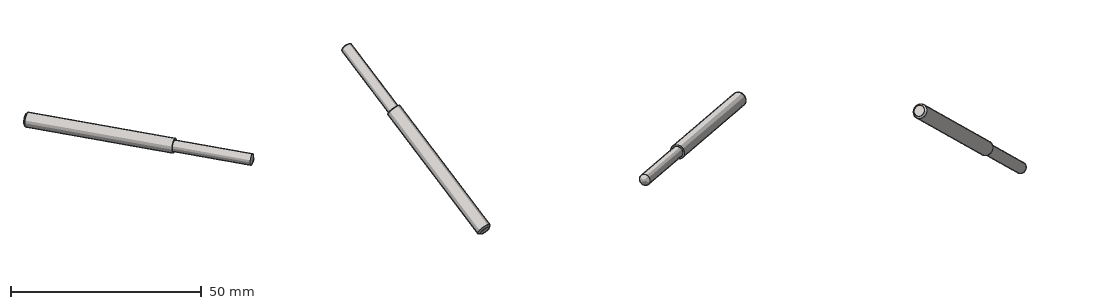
import cadquery as cq
import math

overall_length = 63.0
shank_diameter = 4.0
shank_length = 41.0
shank_chamfer = 0.5
cutter_diameter = 3.1
point_angle = 140.0

shank_radius = shank_diameter / 2
cutter_radius = cutter_diameter / 2
point_length = cutter_radius / math.tan(math.radians(point_angle / 2))
cutter_end = overall_length - point_length


def half_profile():
    """Half section from the X axis outwards, in the XY plane."""
    return (
        cq.Workplane("XY")
        .moveTo(0, 0)
        .lineTo(0, shank_radius - shank_chamfer)
        .lineTo(shank_chamfer, shank_radius)
        .lineTo(shank_length, shank_radius)
        .lineTo(shank_length, cutter_radius)
        .lineTo(cutter_end, cutter_radius)
        .lineTo(overall_length, 0)
        .close()
    )


result = half_profile().revolve(360, (0, 0, 0), (1, 0, 0))